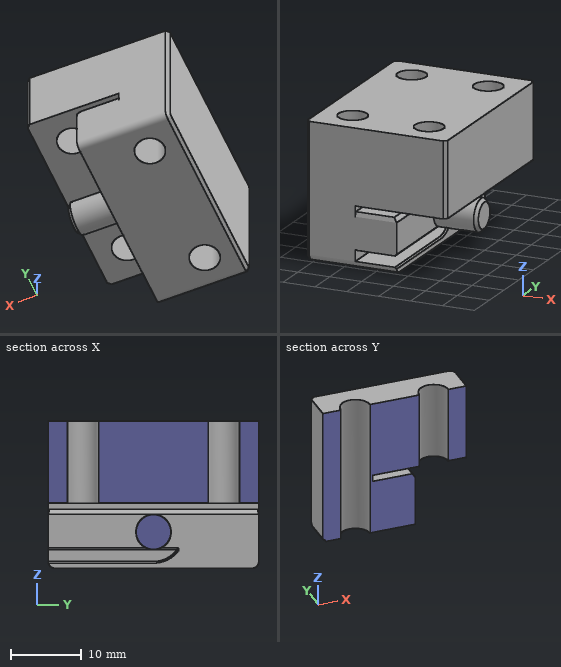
import cadquery as cq
import math

LENGTH = 22.0
WIDTH = 30.0
HEIGHT = 21.0
CORNER_CHAMFER = 0.5
BASE_FILLET = 1.0

LIP_LENGTH = 14.2
OVERHANG_Z = 9.3
RECESS_START_X = 7.7
LIP_TOP_Z = 8.4

PIN_DIAMETER = 5.0
PIN_Z = 5.2
PIN_TIP_X = 21.0
PIN_CHAMFER = 0.5

SIDE_BEVEL_DEPTH = 0.2
END_BEVEL_DEPTH = 0.45

SLOT_MOUTH_CHAMFER = 0.25
SLOT_FLARE_TAPER = -45

HOLE_DIAMETER = 4.4
HOLE_SPACING_X = 12.0
HOLE_SPACING_Y = 20.0
HOLE_CENTRE_X = LENGTH / 2

PIN_RADIUS = PIN_DIAMETER / 2
HALF_WIDTH = WIDTH / 2
PIN_TOP_Z = PIN_Z + PIN_RADIUS
PIN_BOTTOM_Z = PIN_Z - PIN_RADIUS
RECESS_LENGTH = LIP_LENGTH - RECESS_START_X


def box_between(low, high):
    """Axis-aligned box spanning two opposite corners."""
    size = [b - a for a, b in zip(low, high)]
    return cq.Workplane("XY").box(*size, centered=False).translate(low)


def make_body():
    """Block with a short lower lip, rounded base sides and chamfered corners."""
    body = box_between((0, -HALF_WIDTH, 0), (LENGTH, HALF_WIDTH, HEIGHT))
    body = body.edges("|X and <Z").fillet(BASE_FILLET)
    body = body.cut(box_between((LIP_LENGTH, -HALF_WIDTH, 0), (LENGTH, HALF_WIDTH, OVERHANG_Z)))
    body = body.faces("<X").edges("not >Z").chamfer(CORNER_CHAMFER)
    return body.faces(">X").edges("|Z").chamfer(CORNER_CHAMFER)


def make_gap():
    """Open gap across the full width between the lip and the overhang."""
    return box_between(
        (RECESS_START_X, -HALF_WIDTH, LIP_TOP_Z),
        (LIP_LENGTH, HALF_WIDTH, OVERHANG_Z),
    )


def make_side_bevel():
    """Steep bevel along the top of the lip on the -Y side."""
    return (
        cq.Workplane("YZ", origin=(RECESS_START_X, 0, 0))
        .moveTo(-HALF_WIDTH, PIN_TOP_Z)
        .lineTo(-HALF_WIDTH + SIDE_BEVEL_DEPTH, LIP_TOP_Z)
        .lineTo(-HALF_WIDTH, LIP_TOP_Z)
        .close()
        .extrude(RECESS_LENGTH)
    )


def make_end_bevel():
    """Bevel along the top of the lip's free end."""
    return (
        cq.Workplane("XZ", origin=(0, HALF_WIDTH, 0))
        .moveTo(LIP_LENGTH, PIN_TOP_Z)
        .lineTo(LIP_LENGTH - END_BEVEL_DEPTH, LIP_TOP_Z)
        .lineTo(LIP_LENGTH, LIP_TOP_Z)
        .close()
        .extrude(WIDTH)
    )


def make_slot():
    """Slot open at the -Y side, with a round end about the pin axis and a chamfered mouth."""
    floor_z = BASE_FILLET
    end_radius = PIN_Z - floor_z
    end_y = math.sqrt(end_radius**2 - PIN_RADIUS**2)
    mid_z = (floor_z + PIN_BOTTOM_Z) / 2
    mid_y = math.sqrt(end_radius**2 - (PIN_Z - mid_z) ** 2)

    def profile(start_x):
        """Closed slot outline in the plane at start_x."""
        return (
            cq.Workplane("YZ", origin=(start_x, 0, 0))
            .moveTo(-HALF_WIDTH, floor_z)
            .lineTo(0, floor_z)
            .threePointArc((mid_y, mid_z), (end_y, PIN_BOTTOM_Z))
            .lineTo(-HALF_WIDTH, PIN_BOTTOM_Z)
            .close()
        )

    slot = profile(RECESS_START_X).extrude(RECESS_LENGTH)
    mouth = profile(LIP_LENGTH - SLOT_MOUTH_CHAMFER).extrude(SLOT_MOUTH_CHAMFER, taper=SLOT_FLARE_TAPER)
    return slot.union(mouth)


def make_pin():
    """Round pin with a chamfered tip."""
    return (
        cq.Workplane("YZ", origin=(RECESS_START_X, 0, PIN_Z))
        .circle(PIN_RADIUS)
        .extrude(PIN_TIP_X - RECESS_START_X)
        .faces(">X")
        .chamfer(PIN_CHAMFER)
    )


def make_holes():
    """Four plain holes through the full height."""
    return (
        cq.Workplane("XY", origin=(HOLE_CENTRE_X, 0, 0))
        .rarray(HOLE_SPACING_X, HOLE_SPACING_Y, 2, 2)
        .circle(HOLE_DIAMETER / 2)
        .extrude(HEIGHT)
    )


body = make_body().cut(make_gap())
side_bevel = make_side_bevel()
body = body.cut(side_bevel).cut(side_bevel.mirror("XZ")).cut(make_end_bevel())
body = body.cut(make_slot()).union(make_pin())
result = body.cut(make_holes())